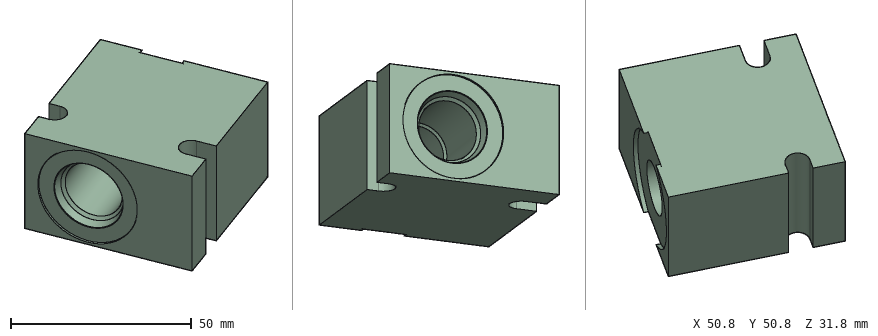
import cadquery as cq

width = 50.8
depth = 50.8
height = 31.75

bore_x = 19.05
bore_z = height / 2
spotface_diameter = 30.2
spotface_depth = 0.7
mouth_diameter = 21.05
mouth_chamfer = 0.15
entry_diameter = mouth_diameter - 2 * mouth_chamfer
taper_end_diameter = 19.1
taper_length = 2.4
thread_diameter = 17.25
shoulder_length = (taper_end_diameter - thread_diameter) / 2
thread_end = 25.4
through_diameter = 15.85
step_length = (thread_diameter - through_diameter) / 2

recess_diameter = 34.2
recess_depth = 1.3

slot_y = 12.75
slot_width = 7.0
left_slot_reach = 6.85
right_slot_reach = 9.55


def make_bore():
    """Revolve the stepped bore profile, given as radius and distance from the front face."""
    chamfer_end = spotface_depth + mouth_chamfer
    taper_end = chamfer_end + taper_length
    shoulder_end = taper_end + shoulder_length
    recess_floor = depth - recess_depth
    profile = [
        (0, 0),
        (spotface_diameter / 2, 0),
        (spotface_diameter / 2, spotface_depth),
        (mouth_diameter / 2, spotface_depth),
        (entry_diameter / 2, chamfer_end),
        (taper_end_diameter / 2, taper_end),
        (thread_diameter / 2, shoulder_end),
        (thread_diameter / 2, thread_end),
        (through_diameter / 2, thread_end + step_length),
        (through_diameter / 2, recess_floor),
        (recess_diameter / 2, recess_floor),
        (recess_diameter / 2, depth),
        (0, depth),
    ]
    bore = cq.Workplane("XY").polyline(profile).close().revolve(360, (0, 0, 0), (0, 1, 0))
    return bore.translate((bore_x, 0, bore_z))


def make_side_slot(side_x, reach):
    """Slot centred on a side face, so that one rounded end lies inside the block."""
    return (
        cq.Workplane("XY")
        .center(side_x, slot_y)
        .slot2D(2 * reach, slot_width)
        .extrude(height)
    )


result = cq.Workplane("XY").box(width, depth, height, centered=False)
result = result.cut(make_bore())
result = result.cut(make_side_slot(0, left_slot_reach))
result = result.cut(make_side_slot(width, right_slot_reach))